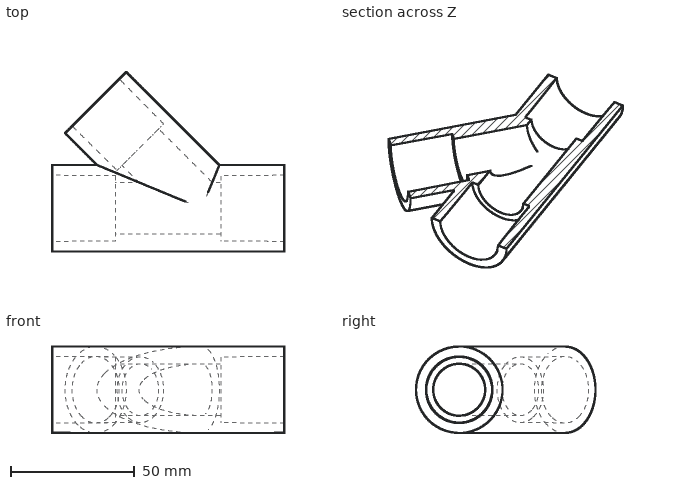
import cadquery as cq
import math

run_length = 93.7
outer_diameter = 34.9
bore_diameter = 20.9
socket_mouth_diameter = 26.9
socket_floor_diameter = 26.5
socket_depth = 25.5

branch_angle = 45.0
branch_length = 60.3
crossing_to_run_end = 33.4

branch_radians = math.radians(branch_angle)
branch_direction = cq.Vector(-math.cos(branch_radians), math.sin(branch_radians), 0)
arms = [
    (cq.Vector(-1, 0, 0), run_length - crossing_to_run_end),
    (cq.Vector(1, 0, 0), crossing_to_run_end),
    (branch_direction, branch_length),
]
origin = cq.Vector(0, 0, 0)


def straight_cylinder(diameter, direction, length, start=origin):
    return cq.Workplane(cq.Solid.makeCylinder(diameter / 2, length, start, direction))


def socket(direction, length):
    """Tapered socket running inward from the mouth of an arm."""
    return cq.Workplane(
        cq.Solid.makeCone(
            socket_mouth_diameter / 2,
            socket_floor_diameter / 2,
            socket_depth,
            direction * length,
            direction * -1,
        )
    )


def run_cylinder(diameter):
    start = cq.Vector(crossing_to_run_end - run_length, 0, 0)
    return straight_cylinder(diameter, cq.Vector(1, 0, 0), run_length, start)


body = run_cylinder(outer_diameter).union(
    straight_cylinder(outer_diameter, branch_direction, branch_length)
)

body = body.cut(run_cylinder(bore_diameter))
body = body.cut(straight_cylinder(bore_diameter, branch_direction, branch_length))

for arm_direction, arm_length in arms:
    body = body.cut(socket(arm_direction, arm_length))

result = body